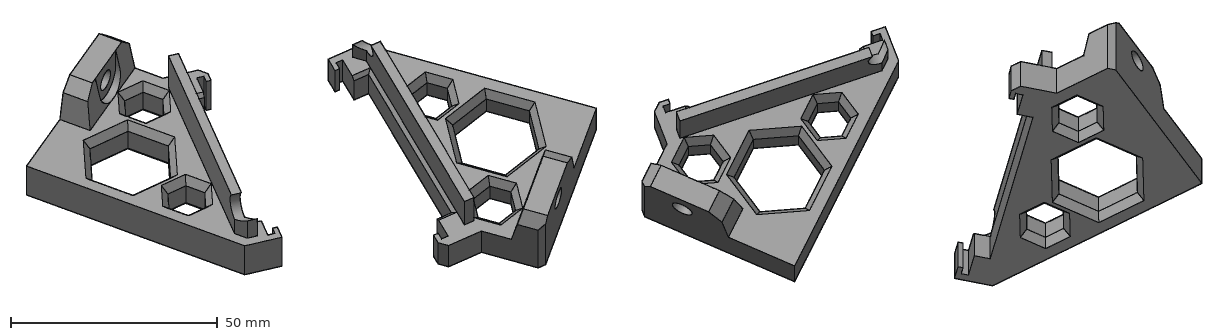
import cadquery as cq
import math

length = 66.0
depth = 47.85
plate_height = 10.0
back_edge_y = 41.5
back_corner_chamfer = 1.45

channel_center = 12.2
channel_half_width = 21.9
channel_chamfer = 1.0
hook_slot_half_width = 27.9
hook_tip_half_width = 26.1
upper_end = -18.15
channel_floor_out = 44.4
pad_out = 48.4
lip_inside_out = 50.15
lip_outside_out = 51.4
lower_end = length * math.sqrt(2) - lip_outside_out

hex_windows = [
    (21.05, 14.0, 10.95),
    (15.5, 32.3, 5.35),
    (39.0, 9.0, 5.15),
]
hex_chamfer_width = 1.6
hex_chamfer_depth = 2.1

block_top = 20.7
block_shoulder = 17.75
block_base_width = 8.25
block_top_width = 6.15
block_front_y = 17.7
block_shoulder_y = 19.4
block_top_front_y = 23.0
block_top_back_y = back_edge_y - (block_top - block_shoulder)

screw_y = 30.0
screw_z = 15.25
screw_diameter = 5.3
head_pocket_width = 10.75

wall_top = 21.0
wall_thickness = 2.6
wall_start = -14.7
wall_end = 39.65
wall_out = channel_floor_out - channel_chamfer
foot_front_y = 2.6
notch_along = 37.2
notch_z = 18.5
notch_diameter = 7.0


def diagonal(along, out):
    """Turn a place measured along and out from the diagonal side into x, y."""
    return ((along + out) / math.sqrt(2), (out - along) / math.sqrt(2))


def make_plate():
    left_pad = channel_center - channel_half_width
    right_pad = channel_center + channel_half_width
    left_slot = channel_center - hook_slot_half_width
    right_slot = channel_center + hook_slot_half_width
    left_tip = channel_center - hook_tip_half_width
    right_tip = channel_center + hook_tip_half_width
    outline = [
        (0, 0),
        (lower_end * math.sqrt(2), 0),
        diagonal(lower_end, lip_outside_out),
        diagonal(right_tip, lip_outside_out),
        diagonal(right_tip, lip_inside_out),
        diagonal(right_slot, lip_inside_out),
        diagonal(right_slot, pad_out),
        diagonal(right_pad, pad_out),
        diagonal(right_pad, channel_floor_out),
        diagonal(left_pad, channel_floor_out),
        diagonal(left_pad, pad_out),
        diagonal(left_slot, pad_out),
        diagonal(left_slot, lip_inside_out),
        diagonal(left_tip, lip_inside_out),
        diagonal(left_tip, lip_outside_out),
        (lip_outside_out * math.sqrt(2) - depth, depth),
        (depth + upper_end * math.sqrt(2), depth),
        (back_edge_y + upper_end * math.sqrt(2), back_edge_y),
        (0, back_edge_y),
    ]
    return cq.Workplane("XY").polyline(outline).close().extrude(plate_height)


def channel_corners(offset):
    """Corners of the channel, widened by an offset and open past the pads."""
    half_width = channel_half_width + offset
    floor_out = channel_floor_out - offset
    return [
        diagonal(channel_center - half_width, floor_out),
        diagonal(channel_center + half_width, floor_out),
        diagonal(channel_center + half_width, lip_outside_out),
        diagonal(channel_center - half_width, lip_outside_out),
    ]


def make_channel_chamfer():
    return (
        cq.Workplane("XY", origin=(0, 0, plate_height - channel_chamfer))
        .polyline(channel_corners(0))
        .close()
        .workplane(offset=channel_chamfer)
        .polyline(channel_corners(channel_chamfer))
        .close()
        .loft(ruled=True)
    )


def make_hex_window(x, y, radius):
    """Hexagonal through window, flared at the top and at the bottom."""
    wide_radius = radius + hex_chamfer_width / math.cos(math.pi / 6)
    window = cq.Workplane("XY").center(x, y).polygon(6, 2 * radius).extrude(plate_height)
    flare = (
        cq.Workplane("XY", origin=(x, y, 0))
        .polygon(6, 2 * wide_radius)
        .workplane(offset=hex_chamfer_depth)
        .polygon(6, 2 * radius)
        .loft(ruled=True)
    )
    top_flare = flare.mirror("XY").translate((0, 0, plate_height))
    return window.union(flare).union(top_flare)


def make_block():
    """Block with a sloped inner face and sloped ends."""
    end_profile = [
        (block_front_y, plate_height),
        (block_shoulder_y, block_shoulder),
        (block_top_front_y, block_top),
        (block_top_back_y, block_top),
        (back_edge_y, block_shoulder),
        (back_edge_y, 0),
        (block_front_y, 0),
    ]
    side_profile = [
        (0, 0),
        (block_base_width, 0),
        (block_base_width, plate_height),
        (block_top_width, block_top),
        (0, block_top),
    ]
    ends = cq.Workplane("YZ").polyline(end_profile).close().extrude(block_base_width)
    sides = cq.Workplane("XZ").polyline(side_profile).close().extrude(-depth)
    return ends.intersect(sides)


def make_screw_hole():
    """Through hole with a round-bottomed pocket cut into the sloped face."""
    pocket_depth = block_base_width - block_top_width
    pocket_height = block_top - screw_z
    screw_line = cq.Workplane("YZ").center(screw_y, screw_z)
    pocket_plane = screw_line.workplane(offset=block_top_width)
    hole = screw_line.circle(screw_diameter / 2).extrude(block_base_width)
    pocket_bottom = pocket_plane.circle(head_pocket_width / 2).extrude(pocket_depth)
    pocket_opening = (
        pocket_plane.center(0, pocket_height / 2)
        .rect(head_pocket_width, pocket_height)
        .extrude(pocket_depth)
    )
    return hole.union(pocket_bottom).union(pocket_opening)


def make_back_corner_cut():
    corner = [
        (0, back_edge_y),
        (back_corner_chamfer, back_edge_y),
        (0, back_edge_y - back_corner_chamfer),
    ]
    return cq.Workplane("XY").polyline(corner).close().extrude(block_top)


def make_wall():
    """Diagonal wall that bends into a short foot along X, with a round notch at the bend.

    The notch is open at the top and toward the free end of the foot.
    """
    wall_in = wall_out - wall_thickness
    foot_back_y = foot_front_y + wall_thickness / math.sqrt(2)
    outline = [
        diagonal(wall_start, wall_in),
        (wall_in * math.sqrt(2) - foot_front_y, foot_front_y),
        (wall_end * math.sqrt(2) + foot_front_y, foot_front_y),
        (wall_end * math.sqrt(2) + foot_back_y, foot_back_y),
        (wall_out * math.sqrt(2) - foot_back_y, foot_back_y),
        diagonal(wall_start, wall_out),
    ]
    wall = cq.Workplane("XY").polyline(outline).close().extrude(wall_top)
    notch_x, notch_y = diagonal(notch_along, 0)
    notch_plane = cq.Plane(origin=(notch_x, notch_y, notch_z), xDir=(1, -1, 0), normal=(-1, -1, 0))
    notch = cq.Workplane(notch_plane).circle(notch_diameter / 2).extrude(-lip_outside_out)
    above_foot = (
        cq.Workplane(notch_plane)
        .rect(length, wall_top, centered=False)
        .extrude(-lip_outside_out)
    )
    return wall.cut(notch).cut(above_foot)


result = make_plate().cut(make_channel_chamfer())
for window_x, window_y, window_radius in hex_windows:
    result = result.cut(make_hex_window(window_x, window_y, window_radius))
result = result.union(make_block()).cut(make_screw_hole()).cut(make_back_corner_cut())
result = result.union(make_wall())